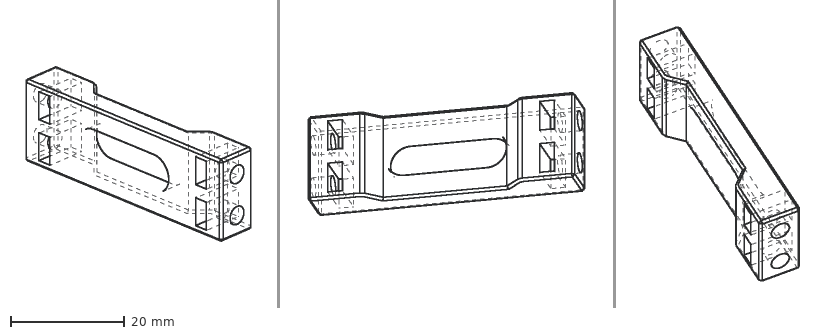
import cadquery as cq

length = 48.6
depth = 8.0
height = 16.0
edge_chamfer = 0.5

recess_depth = 3.0
recess_floor_length = 22.55

slot_straight = 15.05
slot_mouth_height = 8.0
slot_edge_radius = 0.5
slot_height = slot_mouth_height - 2 * slot_edge_radius
slot_length = slot_straight + slot_height

window_width = 2.65
window_height = 5.45
window_end_margin = 3.65
hole_diameter = 3.5
row_offset = depth / 2
window_offset = length / 2 - window_end_margin - window_width / 2
hole_depth = window_end_margin + window_width / 2


def make_body():
    """Extrude the recessed outline and chamfer its outer edges."""
    front = -depth / 2
    back = depth / 2
    floor_end = recess_floor_length / 2
    recess_end = floor_end + recess_depth
    outline = [
        (-length / 2, front),
        (length / 2, front),
        (length / 2, back),
        (recess_end, back),
        (floor_end, back - recess_depth),
        (-floor_end, back - recess_depth),
        (-recess_end, back),
        (-length / 2, back),
    ]
    body = cq.Workplane("XY").polyline(outline).close().extrude(height / 2, both=True)
    inner_corners = cq.selectors.BoxSelector(
        (-floor_end - edge_chamfer, back - recess_depth - edge_chamfer, -edge_chamfer),
        (floor_end + edge_chamfer, back - recess_depth + edge_chamfer, edge_chamfer),
    )
    return body.edges(cq.selectors.InverseSelector(inner_corners)).chamfer(edge_chamfer)


def cut_slot(body):
    """Cut the slot through the thin middle and round both of its mouths."""
    cutter = (
        cq.Workplane("XZ")
        .slot2D(slot_length, slot_height)
        .extrude(depth, both=True)
    )
    rims = cq.selectors.BoxSelector(
        (-slot_length / 2, -depth, -slot_mouth_height / 2),
        (slot_length / 2, depth, slot_mouth_height / 2),
    )
    slotted = body.cut(cutter)
    return slotted.edges(rims).edges("not |Y").fillet(slot_edge_radius)


def cut_end_openings(body):
    """Cut two windows and their blind holes at each end."""
    for side in (-1, 1):
        for row in (-1, 1):
            z = row * row_offset
            window = cq.Workplane("XY").box(window_width, 2 * depth, window_height)
            body = body.cut(window.translate((side * window_offset, 0, z)))
            hole = (
                cq.Workplane("YZ", origin=(side * length / 2, 0, z))
                .circle(hole_diameter / 2)
                .extrude(-side * hole_depth)
            )
            body = body.cut(hole)
    return body


result = cut_end_openings(cut_slot(make_body()))